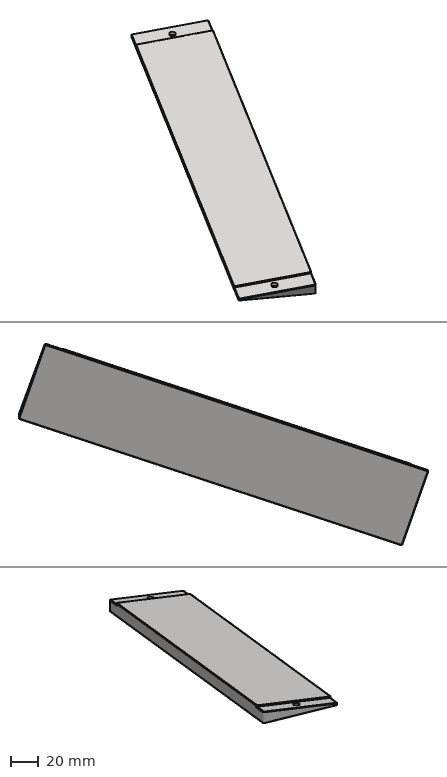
import cadquery as cq
import math

length = 292.8
width = 58.0
height = 10.2
thin_edge = 3.2
edge_chamfer = 0.5
corner_radius = 1.5

pad_rise = 1.2
flange_length = 12.5
pad_chamfer = 0.45

hole_diameter = 2.52
hole_depth = 4.5
countersink_diameter = 4.7
countersink_angle = 60.0
hole_inset = 8.0

half_length = length / 2
half_width = width / 2
base_top = height - pad_rise
pad_length = length - 2 * flange_length
pad_bottom = base_top - edge_chamfer

underside_slope = math.atan2(height - thin_edge, width)
trimmed_depth = edge_chamfer * math.sin(underside_slope)


def make_base():
    """Rounded, chamfered wedge with a flat top and an underside that rises towards -Y."""
    profile = [
        (half_width, -trimmed_depth),
        (half_width, base_top),
        (-half_width, base_top),
        (-half_width, height - thin_edge),
    ]
    wedge = cq.Workplane("YZ").polyline(profile).close().extrude(half_length, both=True)
    rounded = wedge.edges("|Z").fillet(corner_radius)
    return rounded.edges("not |Z").chamfer(edge_chamfer)


def make_pad():
    """Full-width plate, sunk far enough to fill the base's long top chamfers."""
    pad = (
        cq.Workplane("XY", origin=(0, 0, pad_bottom))
        .rect(pad_length, width)
        .extrude(height - pad_bottom)
    )
    rounded = pad.edges("|Z").fillet(corner_radius)
    return rounded.faces(">Z").edges().chamfer(pad_chamfer)


def cut_screw_holes(body):
    """One blind countersunk hole on the centreline of each flange."""
    hole_x = half_length - hole_inset
    return (
        body.copyWorkplane(cq.Workplane("XY", origin=(0, 0, base_top)))
        .pushPoints([(-hole_x, 0), (hole_x, 0)])
        .cskHole(hole_diameter, countersink_diameter, countersink_angle, hole_depth)
    )


result = cut_screw_holes(make_base().union(make_pad()))